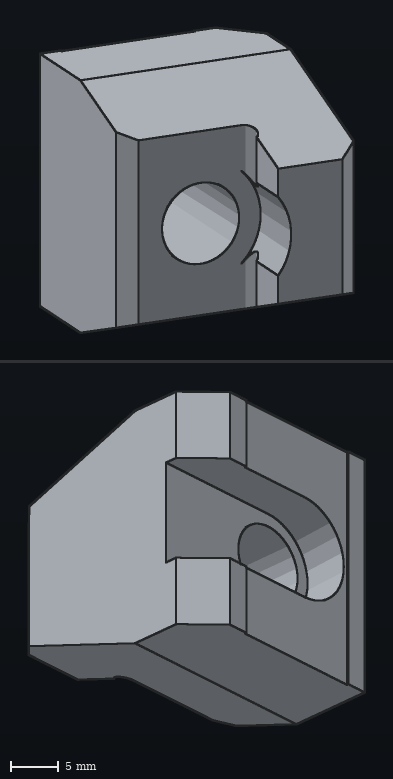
import cadquery as cq

length = 28.0
depth = 24.5
width = 28.0

back_chamfer = 4.0
nose_chamfer = 2.52
foot_chamfer = 1.75
hook_wall_x = 20.5
hook_face_y = depth - 10.0
relief_radius = 1.2
relief_center_y = hook_face_y - 0.7

recess_depth = 0.2
recess_bottom_y = 2.5
recess_top_y = depth - 6.5

taper_start_x = 10.0
taper_inset = 6.5

bolt_y = 9.02
bolt_hole_diameter = 9.0
head_slot_width = 12.0
head_slot_depth = 5.5
hook_clearance_diameter = 14.0


def hooked_body():
    """Hooked outline over the full width; the relief cylinder finishes its inner corner."""
    outline = [
        (0, 0),
        (hook_wall_x - foot_chamfer, 0),
        (hook_wall_x, foot_chamfer),
        (hook_wall_x, relief_center_y),
        (hook_wall_x + relief_radius, relief_center_y),
        (hook_wall_x + relief_radius, hook_face_y),
        (length, hook_face_y),
        (length, depth - nose_chamfer),
        (length - nose_chamfer, depth),
        (back_chamfer, depth),
        (0, depth - back_chamfer),
        (0, recess_top_y),
        (recess_depth, recess_top_y),
        (recess_depth, recess_bottom_y),
        (0, recess_bottom_y),
    ]
    return cq.Workplane("XY").polyline(outline).close().extrude(width / 2, both=True)


def corner_relief():
    """Round groove along Z in the inner corner of the hook."""
    return (
        cq.Workplane("XY")
        .center(hook_wall_x + relief_radius, relief_center_y)
        .circle(relief_radius)
        .extrude(width / 2, both=True)
    )


def tapered_envelope():
    """Plan shape in XZ that narrows symmetrically towards the nose."""
    half_width = width / 2
    nose_half_width = half_width - taper_inset
    outline = [
        (0, -half_width),
        (taper_start_x, -half_width),
        (length, -nose_half_width),
        (length, nose_half_width),
        (taper_start_x, half_width),
        (0, half_width),
    ]
    return cq.Workplane("XZ").polyline(outline).close().extrude(-depth)


def cylinder_along_x(diameter, start_x, end_x):
    """Cylinder on the bolt axis between two X positions."""
    return (
        cq.Workplane("YZ", origin=(start_x, bolt_y, 0))
        .circle(diameter / 2)
        .extrude(end_x - start_x)
    )


def head_slot():
    """Round-ended slot for the bolt head, open towards +Y."""
    run = depth - bolt_y
    straight = cq.Workplane("XY").box(
        head_slot_depth, run, head_slot_width, centered=(False, False, True)
    ).translate((0, bolt_y, 0))
    return straight.union(cylinder_along_x(head_slot_width, 0, head_slot_depth))


result = (
    hooked_body()
    .cut(corner_relief())
    .intersect(tapered_envelope())
    .cut(head_slot())
    .cut(cylinder_along_x(bolt_hole_diameter, 0, length))
    .cut(cylinder_along_x(hook_clearance_diameter, hook_wall_x, length))
)